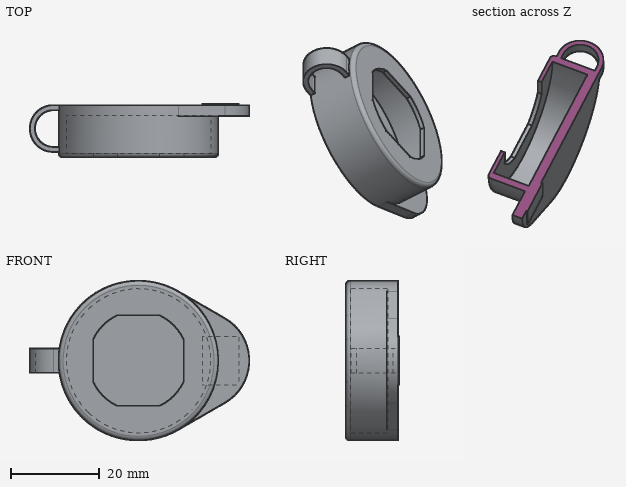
import cadquery as cq
import math

body_diameter = 36.0
body_depth = 11.8
front_fillet = 1.0
cavity_diameter = 32.5
front_wall = 1.0
back_wall = 2.3

opening_diameter = 22.5
opening_flats = 20.4

tab_center_x = 14.0
tab_radius = 11.0
tab_thickness = 2.5

pad_center_x = 18.5
pad_width = 8.2
pad_height = 10.9
pad_rise = 0.3

loop_reach = 24.46
loop_outer_diameter = 10.6
loop_thickness = 1.2
loop_width = 5.5

body_radius = body_diameter / 2
cavity_radius = cavity_diameter / 2


def plane_at(y):
    """XZ plane at the given Y whose extrusions run toward +Y and whose local y axis is -Z."""
    return cq.Workplane(cq.Plane(origin=(0, y, 0), xDir=(1, 0, 0), normal=(0, 1, 0)))


def make_body():
    cylinder = plane_at(-body_depth).circle(body_radius).extrude(body_depth)
    return cylinder.faces("<Y").edges().fillet(front_fillet)


def make_tab():
    tangent_angle = math.acos((body_radius - tab_radius) / tab_center_x)
    cos_a = math.cos(tangent_angle)
    sin_a = math.sin(tangent_angle)
    body_x, body_z = body_radius * cos_a, body_radius * sin_a
    end_x, end_z = tab_center_x + tab_radius * cos_a, tab_radius * sin_a
    return (
        plane_at(-tab_thickness)
        .moveTo(0, 0)
        .lineTo(body_x, body_z)
        .lineTo(end_x, end_z)
        .threePointArc((tab_center_x + tab_radius, 0), (end_x, -end_z))
        .lineTo(body_x, -body_z)
        .close()
        .extrude(tab_thickness)
    )


def make_pad():
    return plane_at(0).center(pad_center_x, 0).rect(pad_width, pad_height).extrude(pad_rise)


def make_loop():
    outer_radius = loop_outer_diameter / 2
    inner_radius = outer_radius - loop_thickness
    center_x = outer_radius - loop_reach
    center_y = -outer_radius
    leg_end_x = -(body_radius + cavity_radius) / 2

    def rounded_end(radius):
        return (
            cq.Workplane("XY", origin=(0, 0, -loop_width / 2))
            .moveTo(leg_end_x, center_y + radius)
            .lineTo(center_x, center_y + radius)
            .threePointArc((center_x - radius, center_y), (center_x, center_y - radius))
            .lineTo(leg_end_x, center_y - radius)
            .close()
            .extrude(loop_width)
        )

    return rounded_end(outer_radius).cut(rounded_end(inner_radius))


def make_cavity():
    cavity_depth = body_depth - front_wall - back_wall
    return plane_at(front_wall - body_depth).circle(cavity_radius).extrude(cavity_depth)


def make_opening():
    disc = plane_at(-body_depth).circle(opening_diameter / 2).extrude(front_wall)
    square = plane_at(-body_depth).rect(opening_flats, opening_flats).extrude(front_wall)
    return disc.intersect(square)


result = (
    make_body()
    .union(make_tab())
    .union(make_pad())
    .union(make_loop())
    .cut(make_cavity())
    .cut(make_opening())
)